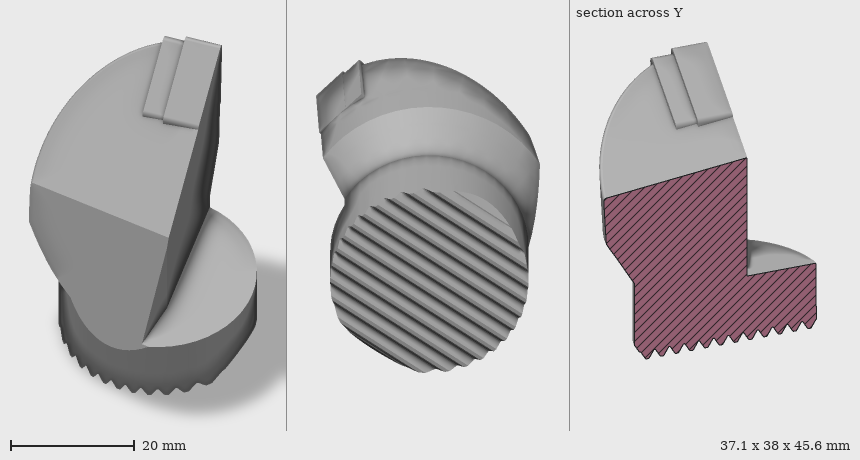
import math

import cadquery as cq

shank_radius = 16.0
shank_top_z = 14.5
flare_top_z = 22.8
flare_angle = 30.0
head_draft = 3.0
flare_radius = shank_radius + (flare_top_z - shank_top_z) * math.tan(math.radians(flare_angle))
reach = 60.0
blank_top_z = 55.0

skew = 10.0
bend_z = 28.5
wall_x = 3.8
bend_y_at_wall = -6.0
upper_slope = 32.0
lower_slope = 60.0
rim_fillet = 0.5

step_z = 12.0
wall_break_y = -6.9

groove_pitch = 2.5
groove_depth = 1.5
groove_half_angle = 30.0
groove_root_half = 0.1
grooves_each_side = 5

outer_block_length = 6.0
inner_block_length = 3.6
block_slope = 31.4
block_thickness = 2.5
block_nose_y = 22.07
block_nose_z = 46.14
outer_nose_radius = 0.7
inner_nose_radius = 0.9
inner_nose_drop = 0.75
inner_nose_setback = 0.08
block_end_y = 9.5
inner_end_y = 10.0
end_radius = 0.9
block_foot_z = 31.6


def tan_deg(angle):
    return math.tan(math.radians(angle))


def head_radius(z):
    return flare_radius + (z - flare_top_z) * tan_deg(head_draft)


def turned_prism(points):
    """Prism through the bend point, from a profile across the bend line."""
    prism = cq.Workplane("YZ").polyline(points).close().extrude(reach, both=True)
    return prism.rotate((0, 0, 0), (0, 0, 1), -skew).translate((wall_x, bend_y_at_wall, 0))


def revolved(points):
    return cq.Workplane("XZ").polyline(points).close().revolve(360, (0, 0, 0), (0, 1, 0))


def make_rimmed_cone():
    """Head cone cut by the upper plane, with its rim rounded."""
    cone = revolved([(0, 0), (head_radius(0), 0), (head_radius(blank_top_z), blank_top_z), (0, blank_top_z)])
    rise = reach * tan_deg(upper_slope)
    above = [(-reach, bend_z - rise), (reach, bend_z + rise), (reach, 2 * reach), (-reach, 2 * reach)]
    return cone.cut(turned_prism(above)).faces(">Z").edges(">Z").fillet(rim_fillet)


def make_body():
    envelope = revolved([
        (0, 0),
        (shank_radius, 0),
        (shank_radius, shank_top_z),
        (flare_radius, flare_top_z),
        (flare_radius + reach, flare_top_z),
        (flare_radius + reach, blank_top_z),
        (0, blank_top_z),
    ])
    fall = reach * tan_deg(lower_slope)
    front_cut = turned_prism([(reach, bend_z + fall), (-reach, bend_z - fall), (-reach, bend_z + fall)])
    return make_rimmed_cone().intersect(envelope).cut(front_cut)


def make_wall_cut():
    turned_x = wall_x - (reach + wall_break_y) * tan_deg(skew)
    outline = [(wall_x, reach), (wall_x, wall_break_y), (turned_x, -reach), (reach, -reach), (reach, reach)]
    return cq.Workplane("XY").workplane(offset=step_z).polyline(outline).close().extrude(reach)


def make_block(length, start_x, nose_y, nose_z, nose_radius, end_y):
    """Plate bent over the nose: sloping top leg and nearly upright back leg."""
    end_z = nose_z - (nose_y - end_y) * tan_deg(block_slope)
    foot_y = nose_y - (nose_z - block_foot_z) * tan_deg(head_draft)
    bend_inner_y = nose_y - block_thickness
    bend_inner_z = nose_z - 2 * block_thickness
    inner_end_z = bend_inner_z - (bend_inner_y - end_y) * tan_deg(block_slope)
    profile = [
        (nose_y, nose_z),
        (end_y, end_z),
        (end_y, inner_end_z),
        (bend_inner_y, bend_inner_z),
        (foot_y - block_thickness, block_foot_z),
        (foot_y, block_foot_z),
    ]
    block = cq.Workplane("YZ", origin=(start_x, 0, 0)).polyline(profile).close().extrude(length)
    block = block.edges("|X").edges(">Z").fillet(nose_radius)
    return block.edges("|X").edges("<Y").edges(">Z").fillet(end_radius)


def make_groove(center):
    """V groove with a narrow flat root, across the whole underside."""
    mouth_half = groove_root_half + groove_depth * tan_deg(groove_half_angle)
    profile = [
        (center - mouth_half, 0),
        (center - groove_root_half, groove_depth),
        (center + groove_root_half, groove_depth),
        (center + mouth_half, 0),
    ]
    groove = cq.Workplane("XZ").polyline(profile).close().extrude(reach, both=True)
    return groove.rotate((0, 0, 0), (0, 0, 1), -skew)


def make_edge_bevel(side):
    """Outermost groove, whose outer flank opens upwards through the shank side."""
    center = (grooves_each_side + 1) * groove_pitch
    ledge = center + groove_root_half
    mouth = center - groove_root_half - groove_depth * tan_deg(groove_half_angle)
    outside = 2 * shank_radius
    outside_z = groove_depth + (outside - ledge) / tan_deg(groove_half_angle)
    profile = [
        (side * mouth, 0),
        (side * (center - groove_root_half), groove_depth),
        (side * ledge, groove_depth),
        (side * outside, outside_z),
        (side * outside, 0),
    ]
    bevel = cq.Workplane("XZ").polyline(profile).close().extrude(reach, both=True)
    return bevel.rotate((0, 0, 0), (0, 0, 1), -skew)


outer_start_x = wall_x - outer_block_length
inner_start_x = outer_start_x - inner_block_length

result = make_body().cut(make_wall_cut())
result = result.union(make_block(
    outer_block_length, outer_start_x, block_nose_y, block_nose_z, outer_nose_radius, block_end_y))
result = result.union(make_block(
    inner_block_length, inner_start_x, block_nose_y - inner_nose_setback,
    block_nose_z - inner_nose_drop, inner_nose_radius, inner_end_y))
for index in range(-grooves_each_side, grooves_each_side + 1):
    result = result.cut(make_groove(index * groove_pitch))
for side in (-1, 1):
    result = result.cut(make_edge_bevel(side))